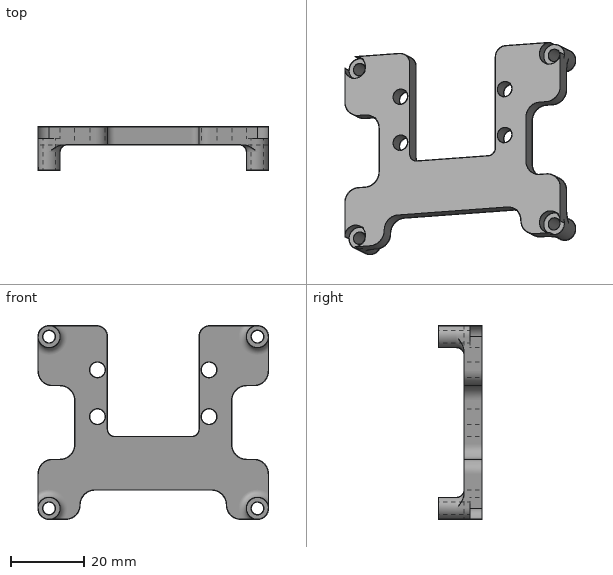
import cadquery as cq
import math

width = 63.0
height = 53.0
depth = 12.0
plate_thickness = 5.0

standoff_radius = 3.0
standoff_hole_diameter = 3.4
standoff_fillet = 2.0
counterbore_depth = 3.3
standoff_x = width / 2 - standoff_radius
standoff_z = height / 2 - standoff_radius

slot_width = 25.0
slot_floor_height = 22.7
slot_mouth_radius = 3.0
slot_floor_radius = 2.0

foot_width = 11.5
foot_height = 8.0
bend_radius = foot_height / 2
side_notch_depth = 10.0
side_notch_offset = 16.45

mount_hole_diameter = 4.2
mount_hole_spacing_x = 30.5
mount_hole_drops = (12.1, 24.9)

SAME_POINT = 6.3e-07


def toward(start, end, distance):
    """Point at the given distance from start on the way to end."""
    ratio = distance / math.dist(start, end)
    return tuple(s + (e - s) * ratio for s, e in zip(start, end))


def rounded_outline(corners):
    """Closed wire of straight edges through right-angled corners (x, z, radius), each rounded."""
    rounds = []
    for i, (x, z, radius) in enumerate(corners):
        corner = (x, z)
        before = toward(corner, corners[i - 1][:2], radius)
        after = toward(corner, corners[(i + 1) % len(corners)][:2], radius)
        center = (before[0] + after[0] - x, before[1] + after[1] - z)
        middle = toward(center, corner, radius)
        rounds.append((before, middle, after))
    position = rounds[0][0]
    outline = cq.Workplane("XZ").moveTo(*position)
    for before, middle, after in rounds:
        if math.dist(position, before) > SAME_POINT:
            outline = outline.lineTo(*before)
        outline = outline.threePointArc(middle, after)
        position = after
    return outline.close()


def plate_prism(length):
    """Plate outline extruded from the back face toward -Y."""
    right = width / 2
    top = height / 2
    bottom = -top
    waist = right - side_notch_depth
    foot_inside = right - foot_width
    right_half = [
        (slot_width / 2, bottom + slot_floor_height, slot_floor_radius),
        (slot_width / 2, top, slot_mouth_radius),
        (right, top, standoff_radius),
        (right, top - side_notch_offset, bend_radius),
        (waist, top - side_notch_offset, bend_radius),
        (waist, bottom + side_notch_offset, bend_radius),
        (right, bottom + side_notch_offset, bend_radius),
        (right, bottom, standoff_radius),
        (foot_inside, bottom, bend_radius),
        (foot_inside, bottom + foot_height, bend_radius),
    ]
    left_half = [(-x, z, radius) for x, z, radius in reversed(right_half)]
    return rounded_outline(right_half + left_half).extrude(length)


def standoff_flare(x, z):
    """Concave fillet ring that joins a standoff to the front of the plate."""
    outer = standoff_radius + standoff_fillet
    top = plate_thickness + standoff_fillet
    bulge = standoff_fillet * (1 - math.sqrt(0.5))
    profile = (
        cq.Workplane("XY")
        .moveTo(0, 0)
        .lineTo(outer, 0)
        .lineTo(outer, -plate_thickness)
        .threePointArc((standoff_radius + bulge, -plate_thickness - bulge), (standoff_radius, -top))
        .lineTo(0, -top)
        .close()
    )
    return profile.revolve(360, (0, 0, 0), (0, 1, 0)).translate((x, 0, z))


def holes(points, diameter, length):
    """Round cutters that run from the back face toward -Y."""
    return cq.Workplane("XZ").pushPoints(points).circle(diameter / 2).extrude(length)


standoff_points = [(sx * standoff_x, sz * standoff_z) for sx in (-1, 1) for sz in (-1, 1)]
mount_points = [
    (side * mount_hole_spacing_x / 2, height / 2 - drop) for side in (-1, 1) for drop in mount_hole_drops
]

body = plate_prism(plate_thickness)
flare_limit = plate_prism(plate_thickness + standoff_fillet)
for x, z in standoff_points:
    body = body.union(standoff_flare(x, z).intersect(flare_limit))
body = body.union(holes(standoff_points, 2 * standoff_radius, depth))

body = body.cut(holes(standoff_points, standoff_hole_diameter, depth))
body = body.cut(holes(mount_points, mount_hole_diameter, plate_thickness))

result = body.cut(holes(standoff_points, 2 * standoff_radius, counterbore_depth))